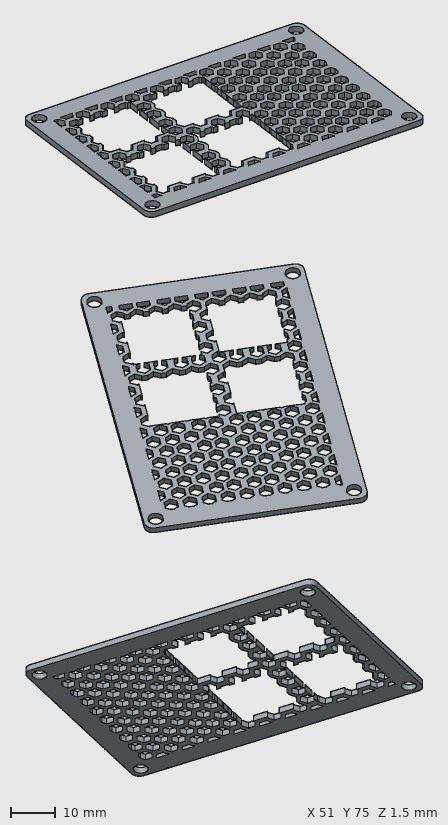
import cadquery as cq
import math

plate_width = 51.0
plate_length = 75.0
plate_thickness = 1.5
corner_radius = 2.0

hole_diameter = 3.4
hole_inset = 2.8

border = 5.0
window_width = plate_width - 2 * border
window_length = plate_length - 2 * border

hex_sides = 6
hex_across_flats = 2.98
hex_across_corners = hex_across_flats / math.cos(math.pi / hex_sides)
column_pitch = 4.335
row_pitch = 3.333
row_count = 20
column_count = 10
first_straight_column_x = -20.64
first_paired_column_x = first_straight_column_x + column_pitch / 2
top_row_y = 31.07
row_stagger = 0.06
pair_shift = 0.165

square_size = 15.65
square_gap = 4.0
square_pitch = square_size + square_gap
square_group_x = 0.33
square_group_y = -11.73


def make_block(width, length):
    """A block as thick as the plate, centred on the origin in X and Y."""
    return cq.Workplane("XY").box(width, length, plate_thickness, centered=(True, True, False))


def make_plate():
    return make_block(plate_width, plate_length).edges("|Z").fillet(corner_radius)


def hex_centres():
    """Straight rows alternate with paired rows, which are offset by half a column."""
    centres = []
    for row in range(row_count):
        is_paired_row = row % 2 == 1
        row_y = top_row_y - row * row_pitch
        for column in range(column_count):
            side = -1 if column % 2 == 0 else 1
            if is_paired_row:
                x = first_paired_column_x + column * column_pitch + side * pair_shift
                y = row_y
            else:
                x = first_straight_column_x + column * column_pitch
                y = row_y - side * row_stagger
            centres.append((x, y))
    return centres


def make_hexagons():
    """Hexagonal prisms trimmed to the window, so that those at its edge are partial."""
    turned_centres = [(y, -x) for x, y in hex_centres()]
    hexagons = (
        cq.Workplane("XY")
        .transformed(rotate=(0, 0, 90))
        .pushPoints(turned_centres)
        .polygon(hex_sides, hex_across_corners)
        .extrude(plate_thickness)
    )
    return hexagons.intersect(make_block(window_width, window_length))


def make_squares():
    """Four square openings, which run into the hexagons around them."""
    return (
        cq.Workplane("XY")
        .center(square_group_x, square_group_y)
        .rarray(square_pitch, square_pitch, 2, 2)
        .rect(square_size, square_size)
        .extrude(plate_thickness)
    )


def make_mounting_holes():
    return (
        cq.Workplane("XY")
        .rarray(plate_width - 2 * hole_inset, plate_length - 2 * hole_inset, 2, 2)
        .circle(hole_diameter / 2)
        .extrude(plate_thickness)
    )


result = make_plate().cut(make_mounting_holes()).cut(make_hexagons()).cut(make_squares())